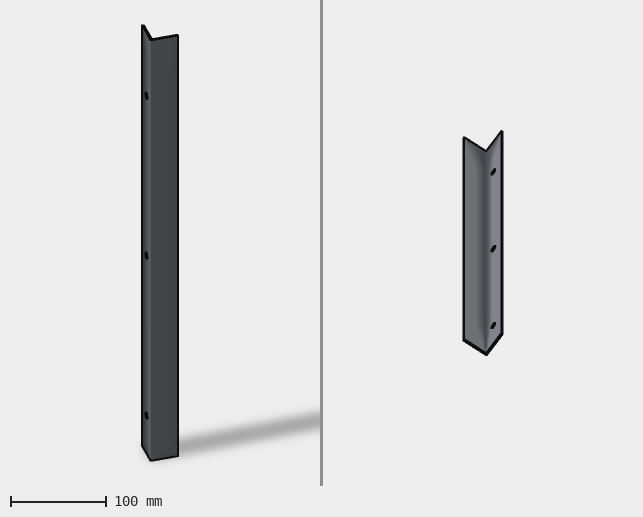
import cadquery as cq

leg_width = 30.0
length = 526.0
thickness = 2.0

outer_radius = 1.0
inner_radius = 0.5

hole_diameter = 7.0
hole_pitch = 200.0
hole_count = 3
lowest_hole_from_bottom = 47.5

half_width = leg_width / 2
bottom_z = -length / 2
inner_x = half_width - thickness
inner_y = -half_width + thickness


def round_long_edge(body, x, y, radius):
    """Fillet the lengthwise edge that passes through (x, y)."""
    nearest = cq.selectors.NearestToPointSelector((x, y, 0))
    return body.edges("|Z").edges(nearest).fillet(radius)


def angle_bar():
    """Angle with its rounded bend at the +X, -Y corner."""
    bar = (
        cq.Workplane("XY", origin=(0, 0, bottom_z))
        .moveTo(-half_width, -half_width)
        .lineTo(half_width, -half_width)
        .lineTo(half_width, half_width)
        .lineTo(inner_x, half_width)
        .lineTo(inner_x, inner_y)
        .lineTo(-half_width, inner_y)
        .close()
        .extrude(length)
    )
    bar = round_long_edge(bar, half_width, -half_width, outer_radius)
    return round_long_edge(bar, inner_x, inner_y, inner_radius)


def mounting_holes():
    """Row of cylinders along Y, evenly spaced in Z on the middle of the leg."""
    lowest_z = bottom_z + lowest_hole_from_bottom
    centers = [(0, lowest_z + i * hole_pitch) for i in range(hole_count)]
    return (
        cq.Workplane("XZ", origin=(0, -half_width, 0))
        .pushPoints(centers)
        .circle(hole_diameter / 2)
        .extrude(-thickness)
    )


result = angle_bar().cut(mounting_holes())